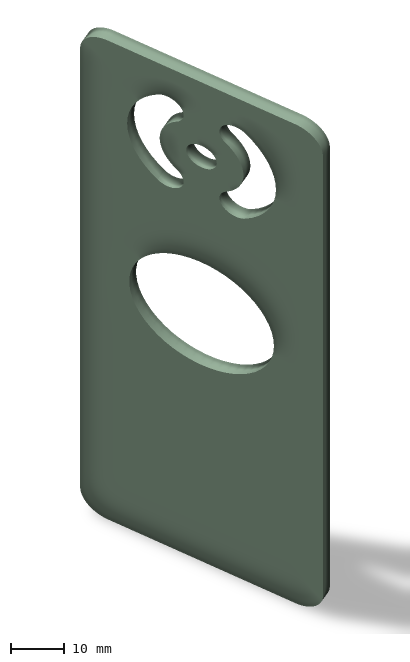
import cadquery as cq
import math

plate_height = 145.0
plate_width = 52.0
plate_thickness = 2.6
corner_radius = 6.0

opening_diameter = 31.0
opening_drop = 70.0

pivot_diameter = 6.5
pivot_drop = 22.5
slot_mid_radius = 12.5
slot_width = 7.0
slot_half_angle = 54.0

top_edge = plate_height / 2
opening_z = top_edge - opening_drop
pivot_z = top_edge - pivot_drop


def through_hole(diameter, z):
    """Cylinder along Y through the plate, on its centreline."""
    return (
        cq.Workplane("XZ")
        .center(0, z)
        .circle(diameter / 2)
        .extrude(plate_thickness, both=True)
    )


def curved_slot(side):
    """Round-ended slot concentric with the pivot; side is -1 for -X or 1 for +X."""
    half_angle = math.radians(slot_half_angle)
    inner_radius = slot_mid_radius - slot_width / 2
    outer_radius = slot_mid_radius + slot_width / 2
    cap_radius = slot_width / 2

    def polar(radius, angle):
        return (side * radius * math.cos(angle), radius * math.sin(angle))

    def cap_tip(end):
        """Furthest point of the round end; end is 1 for upper or -1 for lower."""
        x, z = polar(slot_mid_radius, end * half_angle)
        return (
            x - side * cap_radius * math.sin(half_angle),
            z + end * cap_radius * math.cos(half_angle),
        )

    return (
        cq.Workplane("XZ")
        .center(0, pivot_z)
        .moveTo(*polar(outer_radius, -half_angle))
        .threePointArc(polar(outer_radius, 0), polar(outer_radius, half_angle))
        .threePointArc(cap_tip(1), polar(inner_radius, half_angle))
        .threePointArc(polar(inner_radius, 0), polar(inner_radius, -half_angle))
        .threePointArc(cap_tip(-1), polar(outer_radius, -half_angle))
        .close()
        .extrude(plate_thickness, both=True)
    )


plate = (
    cq.Workplane("XY")
    .box(plate_width, plate_thickness, plate_height)
    .edges("|Y")
    .fillet(corner_radius)
)

result = plate.cut(through_hole(opening_diameter, opening_z))
result = result.cut(through_hole(pivot_diameter, pivot_z))
for side in (-1, 1):
    result = result.cut(curved_slot(side))